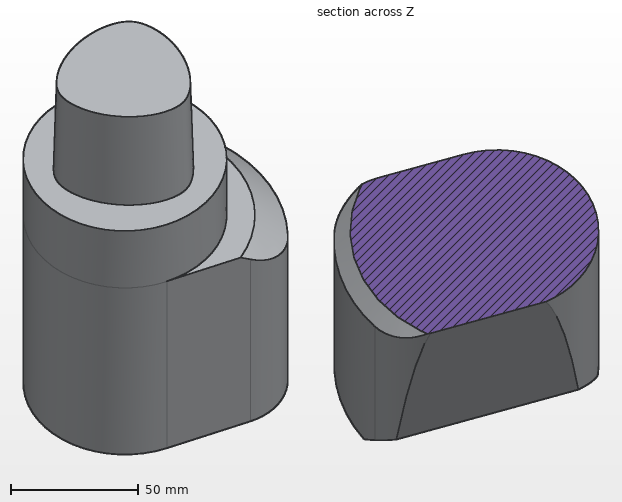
import cadquery as cq
import math

total_height = 173.0
body_height = 93.2
collar_top = 124.9

front_radius = 40.0
rear_radius = 64.0
corner_radius = 25.0

bevel_size = 13.0

flat_angle = 5.0
flat_foot_height = 15.0

shank_base_radius = 27.5
lobe_height = 1.9
shank_taper = 1 / 40
lobe_points = 48


def make_body():
    """Round-fronted block whose bowed rear blends into flat sides."""
    corner_x = front_radius - corner_radius
    center_distance = rear_radius - corner_radius
    corner_y = math.sqrt(center_distance**2 - corner_x**2)
    rear_x = corner_x * rear_radius / center_distance
    rear_y = corner_y * rear_radius / center_distance

    middle_angle = math.atan2(corner_y, corner_x) / 2
    middle_x = corner_x + corner_radius * math.cos(middle_angle)
    middle_y = corner_y + corner_radius * math.sin(middle_angle)

    return (
        cq.Workplane("XY")
        .moveTo(-front_radius, 0)
        .threePointArc((0, -front_radius), (front_radius, 0))
        .lineTo(front_radius, corner_y)
        .threePointArc((middle_x, middle_y), (rear_x, rear_y))
        .threePointArc((0, rear_radius), (-rear_x, rear_y))
        .threePointArc((-middle_x, middle_y), (-front_radius, corner_y))
        .close()
        .extrude(body_height)
    )


def make_bevel_envelope():
    """Turned shape that bevels the top edge of the body's rear."""
    return (
        cq.Workplane("XY")
        .circle(rear_radius)
        .extrude(body_height)
        .faces(">Z")
        .chamfer(bevel_size)
    )


def make_side_cut():
    """Wedge removed from the -X side, leaving the flat and the lower bevel."""
    flat_run = (body_height - flat_foot_height) * math.tan(math.radians(flat_angle))
    flat_foot_x = -front_radius + flat_run
    return (
        cq.Workplane("XZ")
        .moveTo(-front_radius, body_height)
        .lineTo(flat_foot_x, flat_foot_height)
        .lineTo(flat_foot_x + flat_foot_height, 0)
        .lineTo(-front_radius, 0)
        .close()
        .extrude(rear_radius, both=True)
    )


def lobe_outline(mean_radius):
    """Points of a constant-width three-lobed curve with one lobe toward -Y."""
    points = []
    for index in range(lobe_points):
        angle = 2 * math.pi * index / lobe_points
        reach = mean_radius + lobe_height * math.sin(3 * angle)
        slope = 3 * lobe_height * math.cos(3 * angle)
        x = reach * math.cos(angle) - slope * math.sin(angle)
        y = reach * math.sin(angle) + slope * math.cos(angle)
        points.append((x, y))
    return points


def make_shank():
    shank_height = total_height - collar_top
    shank_top_radius = shank_base_radius - shank_height * shank_taper
    return (
        cq.Workplane("XY", origin=(0, 0, collar_top))
        .spline(lobe_outline(shank_base_radius), periodic=True)
        .close()
        .workplane(offset=shank_height)
        .spline(lobe_outline(shank_top_radius), periodic=True)
        .close()
        .loft(ruled=True, combine=True)
    )


body = make_body().intersect(make_bevel_envelope()).cut(make_side_cut())
collar = (
    cq.Workplane("XY", origin=(0, 0, body_height))
    .circle(front_radius)
    .extrude(collar_top - body_height)
)
result = body.union(collar).union(make_shank())